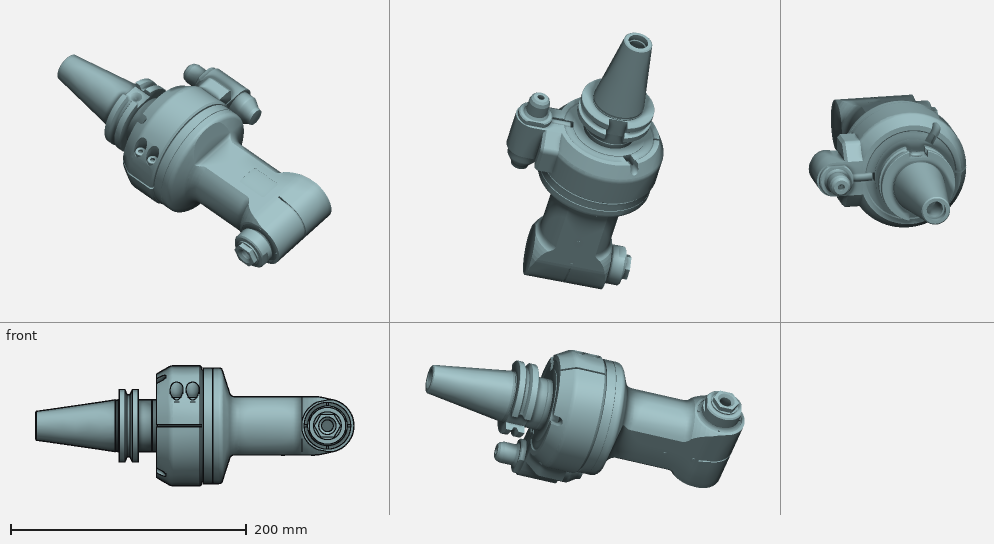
import cadquery as cq
import math


taper_length = 68.4
taper_slope = 7 / 48
taper_big_radius = 44.45 / 2
taper_small_radius = taper_big_radius - taper_length * taper_slope
taper_end_chamfer = 0.9
relief_start = 67.6
relief_end = 69.9
relief_depth = 0.4
flange_start = 70.8
flange_end = 87.5
flange_radius = 31.8
flange_chamfer = 0.4
vee_bottom_radius = 27.6
vee_center = 79.0
vee_bottom_width = 2.4
vee_mouth_width = 6.4
neck_radius = 22.15
neck_end = 98.2
key_slot_width = 16.1
key_slot_floors = {1: 25.0, -1: 22.6}
dimple_radius = 5.0
dimple_depth = 3.5
thread_radius = 8.5
thread_depth = 5.5
pilot_radius = 7.0
pilot_depth = 32.0
stub_radius = 18.0
stub_end = 122.0

ring_front = 102.6
ring_end = 141.2
ring_radius = 51.0
ring_bore_radius = 38.6
ring_bore_chamfer = 1.0
ring_face_radius = 43.9
ring_cone_angle = 30.0
ring_edge_fillet = 8.0
ring_end_chamfer = 1.5
slit_width = 2.0
clamp_screw_x = (119.7, 133.3)
clamp_screw_y = -40.6
clamp_hole_radius = 5.5
clamp_hole_floor = 20.0
screw_head_radius = 4.25
screw_head_height = 4.0
screw_socket_width = 4.0
screw_socket_depth = 2.5

arm_setback = 0.3
arm_front = ring_front + arm_setback
arm_end = 136.8
arm_half_width = 15.0
arm_outer_y = 81.25
pad_end = 136.0
pad_inner_y = 41.6
pad_outer_y = 56.9
pad_half_width = 29.3
pad_slope_end = 114.0
pad_slope_fillet = 6.0
pad_chamfer = 2.4

index_groove_width = 8.0
index_groove_inner_radius = 31.1
index_groove_axis_depth = 4.2
index_groove_axis_x = ring_front + index_groove_axis_depth

pin_y = 65.0
pin_tip = 80.5
pin_tip_radius = 6.2
pin_radius = 9.1
pin_tip_chamfer = 1.8
pin_shoulder_end = 85.6
pin_flare_start = 96.0
pin_flare_radius = 10.8
pin_collar_start = 98.2
pin_collar_radius = 14.7
pin_collar_chamfer = 1.0
pin_collar_half_width = 12.4
pin_cap_radius = 13.2
pin_cap_straight_end = 145.7
pin_cap_fillet = 3.0
pin_cap_cone_end = 153.3
pin_cap_cone_radius = 8.3
pin_cap_end = 156.6
pin_cap_tip_radius = 7.5
pin_hole_radius = 3.0
pin_hole_depth = 5.0
pin_oil_hole_radius = 0.8
pin_oil_hole_depth = 12.0
lever_inner_y = 33.5

hub_front = 103.1
hub_step = 0.5
hub_step_radius = 31.3
hub_boss_chamfer = 0.9
joint_groove_end = 142.5
joint_groove_radius = 47.5
body_radius = 49.2
body_groove_x = 150.1
body_groove_width = 0.6
body_groove_depth = 0.8
body_edge_x = 157.4
body_edge_fillet = 5.0
shoulder_angle = 60.0
shoulder_foot_x = 167.5
shoulder_foot_fillet = 9.5
shoulder_end = 175.0
column_radius = 30.3
tool_x = 247.6
head_sphere_radius = 40.0
head_root_start = 219.7
head_facet_x = (226.0, 228.5, 231.7, 235.8, 239.1, tool_x)
head_half_length = 33.5
head_end = 270.17
nose_radius = head_end - tool_x
nose_slope = 12.4
nose_edge_fillet = 26.0
flat_height = 24.8
flat_root_x = 165.7
flat_root_fillet = 3.8
flat_ramp_angle = 72.0
nose_groove_start = 240.0
nose_groove_width = 1.6
nose_groove_depth = 1.0
plate_center_x = 217.5
plate_length = 27.0
plate_width = 19.6
plate_corner = 1.6
plate_depth = 0.2
button_x = (209.8, 235.2)
button_radius = 1.3
button_height = 0.5
face_recess_radius = 19.8
face_recess_depth = 1.0
spanner_slot_width = 2.0
spanner_slot_depth = 1.0
spanner_slot_inner = 17.2

nut_neck_radius = 12.9
nut_start = 35.2
nut_radius = 16.8
nut_back_chamfer = 1.0
nut_flat_start = 40.8
nut_flat_half_width = 15.3
nut_end = 47.4
nut_front_chamfer = 1.2
nut_collar_radius = 11.8
nut_hex_start = 48.7
nut_hex_end = 53.0
nut_hex_diameter = 22.4
nut_bore_radius = 5.0
nut_bore_depth = 20.0
nut_bore_chamfer = 2.4


def rounded_outline(workplane, corners):
    """Close an outline through (u, v, fillet radius) corners, rounding the corners that ask for it."""
    outline = workplane
    started = False
    for i, (u, v, radius) in enumerate(corners):
        corner = cq.Vector(u, v)
        before = (cq.Vector(*corners[i - 1][:2]) - corner).normalized()
        after = (cq.Vector(*corners[(i + 1) % len(corners)][:2]) - corner).normalized()
        half_angle = before.getAngle(after) / 2
        tangent_length = radius / math.tan(half_angle)
        bisector = (before + after).normalized() if radius else cq.Vector(0, 0)
        entry = corner + before * tangent_length
        leave = corner + after * tangent_length
        middle = corner + bisector * (radius / math.sin(half_angle) - radius)
        outline = outline.lineTo(entry.x, entry.y) if started else outline.moveTo(entry.x, entry.y)
        started = True
        if radius:
            outline = outline.threePointArc((middle.x, middle.y), (leave.x, leave.y))
    return outline.close()


def turned(corners, axis_y=0.0):
    """Solid turned about an axis parallel to X, from (x, radius) or (x, radius, fillet) corners."""
    padded = [(*corner, 0.0)[:3] for corner in corners]
    closed = [(padded[0][0], 0.0, 0.0), *padded, (padded[-1][0], 0.0, 0.0)]
    return rounded_outline(cq.Workplane("XY"), closed).revolve(360, (0, 0), (1, 0)).translate((0, axis_y, 0))


def x_cylinder(start, end, radius, axis_y=0.0):
    return turned([(start, radius), (end, radius)], axis_y)


def y_cylinder(start, end, radius, x, z=0.0):
    return cq.Workplane("XZ", origin=(x, start, z)).circle(radius).extrude(start - end)


def block(x_range, y_range, z_range):
    """Box between the given limits."""
    size = [high - low for low, high in (x_range, y_range, z_range)]
    corner = (x_range[0], y_range[0], z_range[0])
    return cq.Workplane("XY").box(*size, centered=False).translate(corner)


def index_groove():
    """Cutter on the +Y side: a round-bottomed groove, open to the ring's front face."""
    radius = index_groove_width / 2
    y_range = (index_groove_inner_radius, pin_y)
    channel = block((neck_end, index_groove_axis_x), y_range, (-radius, radius))
    return channel.union(y_cylinder(*y_range, radius, index_groove_axis_x))


def hub_groove():
    """Cutter on the +Y side: the same groove where it runs on into the hub, with a flat bottom."""
    radius = index_groove_width / 2
    x_range = (neck_end, index_groove_axis_x + radius)
    return block(x_range, (index_groove_inner_radius, ring_bore_radius), (-radius, radius))


def cut_three_around(solid, cutter):
    for angle in (0, 120, 240):
        solid = solid.cut(cutter.rotate((0, 0, 0), (1, 0, 0), angle))
    return solid


def make_shank():
    vee_left = vee_center - vee_mouth_width / 2
    vee_right = vee_center + vee_mouth_width / 2
    shank = turned([
        (0, taper_small_radius - taper_end_chamfer),
        (taper_end_chamfer, taper_small_radius + taper_end_chamfer * taper_slope),
        (relief_start, taper_big_radius - (taper_length - relief_start) * taper_slope),
        (taper_length, taper_big_radius - relief_depth),
        (relief_end, taper_big_radius - relief_depth),
        (relief_end, taper_big_radius),
        (flange_start, taper_big_radius),
        (flange_start, flange_radius - flange_chamfer),
        (flange_start + flange_chamfer, flange_radius),
        (vee_left, flange_radius),
        (vee_center - vee_bottom_width / 2, vee_bottom_radius),
        (vee_center + vee_bottom_width / 2, vee_bottom_radius),
        (vee_right, flange_radius),
        (flange_end - flange_chamfer, flange_radius),
        (flange_end, flange_radius - flange_chamfer),
        (flange_end, neck_radius),
        (neck_end, neck_radius),
        (neck_end, stub_radius),
        (stub_end, stub_radius),
    ])
    shank = shank.cut(x_cylinder(0, thread_depth, thread_radius))
    shank = shank.cut(x_cylinder(0, pilot_depth, pilot_radius))
    half_slot = key_slot_width / 2
    for side, floor in key_slot_floors.items():
        z_range = sorted((side * floor, side * (flange_radius + 1)))
        shank = shank.cut(block((flange_start, flange_end), (-half_slot, half_slot), z_range))
    dimple = cq.Solid.makeCone(
        0, dimple_radius, dimple_depth, cq.Vector(vee_center, 0, key_slot_floors[1] - dimple_depth)
    )
    return shank.cut(dimple)


def make_arm():
    end_center_y = arm_outer_y - arm_half_width
    arm = block((arm_front, arm_end), (ring_bore_radius, end_center_y), (-arm_half_width, arm_half_width))
    return arm.union(x_cylinder(arm_front, arm_end, arm_half_width, end_center_y))


def make_pads():
    """Pads on both sides of the arm, sloping back from the front face."""
    outline = [
        (arm_front, arm_half_width, 0),
        (pad_slope_end, pad_half_width, pad_slope_fillet),
        (pad_end, pad_half_width, 0),
        (pad_end, -pad_half_width, 0),
        (pad_slope_end, -pad_half_width, pad_slope_fillet),
        (arm_front, -arm_half_width, 0),
    ]
    pads = rounded_outline(cq.Workplane("XZ", origin=(0, pad_outer_y, 0)), outline)
    pads = pads.extrude(pad_outer_y - pad_inner_y)
    return pads.edges(">Y and (not |Z)").chamfer(pad_chamfer)


def clamp_screw_hole(x):
    return (
        cq.Workplane("XY", origin=(x, clamp_screw_y, clamp_hole_floor))
        .circle(clamp_hole_radius)
        .extrude(ring_radius)
    )


def clamp_screw_head(x):
    head = cq.Workplane("XY", origin=(x, clamp_screw_y, clamp_hole_floor))
    head = head.circle(screw_head_radius).extrude(screw_head_height)
    socket = head.faces(">Z").workplane()
    return socket.polygon(6, screw_socket_width, circumscribed=True).cutBlind(-screw_socket_depth)


def make_clamp_ring():
    cone_length = (ring_radius - ring_face_radius) / math.tan(math.radians(ring_cone_angle))
    ring = turned([
        (ring_front, ring_face_radius),
        (ring_front + cone_length, ring_radius, ring_edge_fillet),
        (ring_end - ring_end_chamfer, ring_radius),
        (ring_end, ring_radius - ring_end_chamfer),
    ])
    arm_seat = block((ring_front, arm_front), (pad_inner_y, ring_radius), (-ring_radius, ring_radius))
    ring = ring.cut(arm_seat).union(make_pads()).union(make_arm())
    bore = turned([
        (ring_front, ring_bore_radius + ring_bore_chamfer),
        (ring_front + ring_bore_chamfer, ring_bore_radius),
        (ring_end, ring_bore_radius),
    ])
    ring = ring.cut(bore)
    ring = ring.cut(x_cylinder(arm_front, arm_end, pin_radius, pin_y))
    half_slit = slit_width / 2
    ring = ring.cut(block((ring_front, ring_end), (-ring_radius, -ring_bore_radius), (-half_slit, half_slit)))
    ring = cut_three_around(ring, index_groove())
    for x in clamp_screw_x:
        ring = ring.cut(clamp_screw_hole(x)).union(clamp_screw_head(x))
    return ring


def make_torque_pin():
    pin = turned([
        (pin_tip, pin_tip_radius),
        (pin_tip + pin_tip_chamfer, pin_tip_radius + pin_tip_chamfer),
        (pin_shoulder_end, pin_radius),
        (pin_flare_start, pin_radius),
        (pin_collar_start, pin_flare_radius),
        (pin_collar_start, pin_collar_radius - pin_collar_chamfer),
        (pin_collar_start + pin_collar_chamfer, pin_collar_radius),
        (arm_front, pin_collar_radius),
        (arm_front, pin_radius),
        (arm_end, pin_radius),
        (arm_end, pin_cap_radius),
        (pin_cap_straight_end, pin_cap_radius, pin_cap_fillet),
        (pin_cap_cone_end, pin_cap_cone_radius),
        (pin_cap_end, pin_cap_tip_radius),
    ], pin_y)
    for side in (1, -1):
        z_range = sorted((side * pin_collar_half_width, side * pin_collar_radius))
        y_range = (pin_y - pin_collar_radius, pin_y + pin_collar_radius)
        pin = pin.cut(block((pin_collar_start, arm_front), y_range, z_range))
    pin = pin.cut(x_cylinder(pin_tip, pin_tip + pin_hole_depth, pin_hole_radius, pin_y))
    pin = pin.cut(x_cylinder(pin_tip, pin_tip + pin_oil_hole_depth, pin_oil_hole_radius, pin_y))
    lever_radius = index_groove_width / 2
    return pin.union(y_cylinder(lever_inner_y, pin_y, lever_radius, index_groove_axis_x))


def make_ball_end():
    """Turned end of the column: a concave root, a faceted ball and a plain cylinder beyond the tool axis."""
    facets = [(x, math.sqrt(head_sphere_radius**2 - (tool_x - x) ** 2)) for x in head_facet_x]
    profile = (
        cq.Workplane("XY")
        .moveTo(shoulder_end, 0)
        .lineTo(shoulder_end, column_radius)
        .lineTo(head_root_start, column_radius)
        .tangentArcPoint(facets[0], relative=False)
    )
    for facet in facets[1:]:
        profile = profile.lineTo(*facet)
    profile = profile.lineTo(head_end, head_sphere_radius).lineTo(head_end, 0).close()
    return profile.revolve(360, (0, 0), (1, 0))


def make_head_blank():
    """Turned blank before the flats: hub, shoulder and column ending in a ball of the head's size."""
    slope = math.tan(math.radians(shoulder_angle))
    edge_radius = column_radius + (shoulder_foot_x - body_edge_x) * slope
    groove_radius = body_radius - body_groove_depth
    blank = turned([
        (neck_end, neck_radius - hub_boss_chamfer),
        (neck_end + hub_boss_chamfer, neck_radius),
        (hub_front, neck_radius),
        (hub_front, hub_step_radius),
        (hub_front + hub_step, hub_step_radius),
        (hub_front + hub_step, ring_bore_radius),
        (ring_end, ring_bore_radius),
        (ring_end, joint_groove_radius),
        (joint_groove_end, joint_groove_radius),
        (joint_groove_end, body_radius),
        (body_groove_x, body_radius),
        (body_groove_x, groove_radius),
        (body_groove_x + body_groove_width, groove_radius),
        (body_groove_x + body_groove_width, body_radius),
        (body_edge_x - (edge_radius - body_radius) / slope, body_radius, body_edge_fillet),
        (shoulder_foot_x, column_radius, shoulder_foot_fillet),
        (shoulder_end, column_radius),
    ])
    return blank.union(make_ball_end())


def make_head_envelope():
    """Side outline of the head: ramps behind the shoulder, two flats and a tapering round nose."""
    slope = math.radians(nose_slope)
    ramp_x = flat_root_x - (ring_radius - flat_height) / math.tan(math.radians(flat_ramp_angle))
    nose_edge_x = tool_x - (flat_height - nose_radius / math.cos(slope)) / math.tan(slope)
    tangent = (tool_x + nose_radius * math.sin(slope), nose_radius * math.cos(slope))
    upper = [
        (ramp_x, ring_radius, 0),
        (flat_root_x, flat_height, flat_root_fillet),
        (nose_edge_x, flat_height, nose_edge_fillet),
        (*tangent, 0),
    ]
    lower = [(x, -z, fillet) for x, z, fillet in reversed(upper)]
    outline = rounded_outline(cq.Workplane("XZ", origin=(0, ring_radius, 0)), upper + lower)
    column = outline.extrude(2 * ring_radius)
    nose = y_cylinder(-ring_radius, ring_radius, nose_radius, tool_x)
    base = block((neck_end, ramp_x), (-ring_radius, ring_radius), (-ring_radius, ring_radius))
    return column.union(nose).union(base)


def make_head():
    head = make_head_blank().intersect(make_head_envelope())
    for side in (1, -1):
        y_range = sorted((side * head_half_length, side * ring_radius))
        x_range = (tool_x - head_sphere_radius, tool_x + head_sphere_radius)
        head = head.cut(block(x_range, y_range, (-ring_radius, ring_radius)))
    head = head.cut(x_cylinder(neck_end, stub_end, stub_radius))
    head = cut_three_around(head, hub_groove())

    half_groove = nose_groove_width / 2
    groove = block(
        (nose_groove_start, head_end), (-half_groove, half_groove), (-flat_height, flat_height)
    )
    groove = groove.cut(y_cylinder(-half_groove, half_groove, nose_radius - nose_groove_depth, tool_x))
    head = head.cut(groove)

    plate = cq.Workplane("XY", origin=(plate_center_x, 0, flat_height - plate_depth))
    plate = plate.rect(plate_length, plate_width).extrude(plate_depth).edges("|Z").fillet(plate_corner)
    head = head.cut(plate)

    for x in button_x:
        button = cq.Workplane("XY", origin=(x, 0, -flat_height - button_height))
        head = head.union(button.circle(button_radius).extrude(2 * button_height))

    recess_floor = -head_half_length + face_recess_depth
    head = head.cut(y_cylinder(-head_half_length, recess_floor, face_recess_radius, tool_x))
    half_slot = spanner_slot_width / 2
    slot = block(
        (spanner_slot_inner, face_recess_radius),
        (recess_floor, recess_floor + spanner_slot_depth),
        (-half_slot, half_slot),
    )
    for angle in (0, 90, 180, 270):
        head = head.cut(slot.rotate((0, 0, 0), (0, 1, 0), angle).translate((tool_x, 0, 0)))
    return head


def make_collet_nut():
    nut = y_cylinder(-nut_end, -nut_start, nut_radius, tool_x)
    nut = nut.faces("<Y").chamfer(nut_front_chamfer).faces(">Y").chamfer(nut_back_chamfer)
    for side in (1, -1):
        x_range = sorted((tool_x + side * nut_flat_half_width, tool_x + side * nut_radius))
        nut = nut.cut(block(x_range, (-nut_end, -nut_flat_start), (-nut_radius, nut_radius)))
    recess_floor = -head_half_length + face_recess_depth
    nut = nut.union(y_cylinder(-nut_start, recess_floor, nut_neck_radius, tool_x))
    nut = nut.union(y_cylinder(-nut_hex_start, -nut_end, nut_collar_radius, tool_x))
    hexagon = cq.Workplane("XZ", origin=(tool_x, -nut_hex_start, 0)).polygon(6, nut_hex_diameter)
    nut = nut.union(hexagon.extrude(nut_hex_end - nut_hex_start))
    nut = nut.cut(y_cylinder(-nut_hex_end, nut_bore_depth - nut_hex_end, nut_bore_radius, tool_x))
    return nut.faces("<Y").edges("%CIRCLE").chamfer(nut_bore_chamfer)


shank = make_shank()
clamp_ring = make_clamp_ring()
torque_pin = make_torque_pin()
head = make_head()
collet_nut = make_collet_nut()

bodies = [shank, clamp_ring, torque_pin, head, collet_nut]
result = cq.Compound.makeCompound([body.solids().val() for body in bodies])